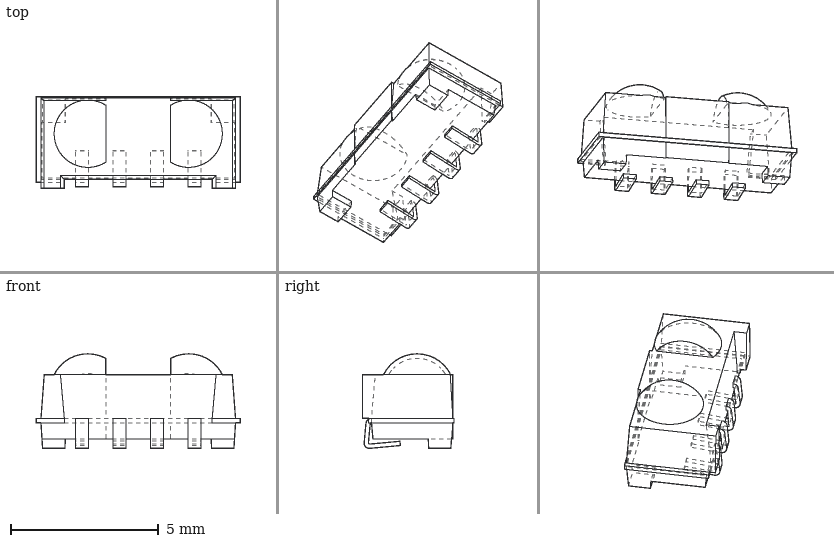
import cadquery as cq
import math

BODY_BOTTOM = 0.32
FLANGE_BOTTOM = 0.86
FLANGE_TOP = 1.015
BODY_TOP = 2.5
LENS_TOP = 3.2

FLANGE_HALF_LENGTH = 3.45
FLANGE_BACK = 1.235
FLANGE_FRONT = -1.655

BODY_HALF_LENGTH = 3.29
BODY_TOP_HALF_LENGTH = 3.18
BODY_BOTTOM_HALF_LENGTH = 3.26
BODY_BACK = 1.195
BODY_TOP_BACK = 1.105
BODY_BOTTOM_BACK = 1.15
UPPER_FRONT = -1.86
LOWER_BOTTOM_FRONT = -1.51

RECESS_HALF_LENGTH = 2.5
RECESS_TOP_HALF_LENGTH = 2.63
RECESS_WALL = -1.56
RECESS_TOP_WALL = -1.43

FOOT_TAPER_RATIO = BODY_BOTTOM / (FLANGE_BOTTOM - BODY_BOTTOM)
FOOT_TIP_OUTER = BODY_BOTTOM_HALF_LENGTH - FOOT_TAPER_RATIO * (BODY_HALF_LENGTH - BODY_BOTTOM_HALF_LENGTH)
FOOT_TIP_BACK = BODY_BOTTOM_BACK - FOOT_TAPER_RATIO * (BODY_BACK - BODY_BOTTOM_BACK)
FOOT_INNER = 2.455
FOOT_TIP_INNER = 2.48
FOOT_FRONT = 0.36
FOOT_TIP_FRONT = 0.37

LENS_X = 1.705
LENS_Y = -0.015
LENS_BASE_RADIUS = 1.14
LENS_FLAT_X = 1.1

LEAD_COUNT = 4
LEAD_PITCH = 1.27
LEAD_WIDTH = 0.45
LEAD_GAUGE = FLANGE_TOP - FLANGE_BOTTOM
LEAD_TILT = math.radians(5.3)
LEAD_ROOT = -1.38
LEAD_SHOULDER = -1.73
LEAD_KNEE_Z = -0.02
LEAD_TOE_LENGTH = 1.255
LEAD_OUTER_BEND = 0.185
LEAD_INNER_BEND = LEAD_OUTER_BEND - LEAD_GAUGE


def block(x_min, x_max, y_min, y_max, z_min, z_max):
    """Axis-aligned block between the given limits."""
    size = (x_max - x_min, y_max - y_min, z_max - z_min)
    return cq.Workplane("XY").box(*size, centered=False).translate((x_min, y_min, z_min))


def frustum(z_start, start, z_end, end):
    """Loft between two rectangles given as (x_min, x_max, y_min, y_max)."""
    wires = []
    for z, (x_min, x_max, y_min, y_max) in ((z_start, start), (z_end, end)):
        corners = [(x_min, y_min, z), (x_max, y_min, z), (x_max, y_max, z), (x_min, y_max, z)]
        wires.append(cq.Wire.makePolygon([cq.Vector(*c) for c in corners], close=True))
    return cq.Workplane(cq.Solid.makeLoft(wires, True))


def centred(half_length, front, back):
    """Rectangle limits symmetric about X = 0."""
    return (-half_length, half_length, front, back)


def mirrored_pair(shape):
    return shape.union(shape.mirror("YZ"))


def make_upper_housing():
    housing = frustum(
        FLANGE_TOP, centred(BODY_HALF_LENGTH, UPPER_FRONT, BODY_BACK),
        BODY_TOP, centred(BODY_TOP_HALF_LENGTH, UPPER_FRONT, BODY_TOP_BACK),
    )
    recess = frustum(
        FLANGE_TOP, centred(RECESS_HALF_LENGTH, UPPER_FRONT, RECESS_WALL),
        BODY_TOP, centred(RECESS_TOP_HALF_LENGTH, UPPER_FRONT, RECESS_TOP_WALL),
    )
    return housing.cut(recess)


def make_flange():
    plate = block(-FLANGE_HALF_LENGTH, FLANGE_HALF_LENGTH, FLANGE_FRONT, FLANGE_BACK,
                  FLANGE_BOTTOM, FLANGE_TOP)
    notch = block(-RECESS_HALF_LENGTH, RECESS_HALF_LENGTH, FLANGE_FRONT, RECESS_WALL,
                  FLANGE_BOTTOM, FLANGE_TOP)
    return plate.cut(notch)


def make_lower_housing():
    return frustum(
        FLANGE_BOTTOM, centred(BODY_HALF_LENGTH, RECESS_WALL, BODY_BACK),
        BODY_BOTTOM, centred(BODY_BOTTOM_HALF_LENGTH, LOWER_BOTTOM_FRONT, BODY_BOTTOM_BACK),
    )


def make_back_pad():
    """Upright pad that squares off the tapered back between the lenses."""
    return block(-LENS_FLAT_X, LENS_FLAT_X, 0, BODY_BACK, BODY_BOTTOM, BODY_TOP)


def make_feet():
    return mirrored_pair(frustum(
        BODY_BOTTOM, (FOOT_INNER, BODY_BOTTOM_HALF_LENGTH, FOOT_FRONT, BODY_BOTTOM_BACK),
        0, (FOOT_TIP_INNER, FOOT_TIP_OUTER, FOOT_TIP_FRONT, FOOT_TIP_BACK),
    ))


def make_lenses():
    height = LENS_TOP - BODY_TOP
    radius = (LENS_BASE_RADIUS**2 + height**2) / (2 * height)
    sphere = cq.Workplane("XY").sphere(radius).translate((LENS_X, LENS_Y, LENS_TOP - radius))
    kept = block(LENS_FLAT_X, FLANGE_HALF_LENGTH, LENS_Y - radius, BODY_TOP_BACK, BODY_TOP, LENS_TOP)
    return mirrored_pair(sphere.intersect(kept))


def make_lead():
    """Strip that leaves the flange, bends down and folds back under the body."""
    tangent = math.tan(LEAD_TILT)
    knee_y = LEAD_SHOULDER - (FLANGE_TOP - LEAD_KNEE_Z) * tangent
    inner_shoulder_y = LEAD_SHOULDER - LEAD_GAUGE * tangent + LEAD_GAUGE / math.cos(LEAD_TILT)
    half_angle = math.pi / 4 - LEAD_TILT
    inner_step = LEAD_GAUGE / math.sin(half_angle) / math.sqrt(2)
    toe_y = knee_y + LEAD_TOE_LENGTH * math.cos(LEAD_TILT)
    toe_z = LEAD_KNEE_Z + LEAD_TOE_LENGTH * math.sin(LEAD_TILT)

    outer_shoulder = (LEAD_SHOULDER, FLANGE_TOP)
    outer_knee = (knee_y, LEAD_KNEE_Z)
    inner_knee = (knee_y + inner_step, LEAD_KNEE_Z + inner_step)
    inner_shoulder = (inner_shoulder_y, FLANGE_BOTTOM)
    outline = [
        (LEAD_ROOT, FLANGE_TOP),
        outer_shoulder,
        outer_knee,
        (toe_y, toe_z),
        (toe_y - LEAD_GAUGE * math.sin(LEAD_TILT), toe_z + LEAD_GAUGE * math.cos(LEAD_TILT)),
        inner_knee,
        inner_shoulder,
        (LEAD_ROOT, FLANGE_BOTTOM),
    ]
    lead = cq.Workplane("YZ").polyline(outline).close().extrude(LEAD_WIDTH / 2, both=True)
    bends = (
        (outer_shoulder, LEAD_OUTER_BEND),
        (outer_knee, LEAD_OUTER_BEND),
        (inner_knee, LEAD_INNER_BEND),
        (inner_shoulder, LEAD_INNER_BEND),
    )
    for corner, radius in bends:
        edge = lead.edges("|X").edges(cq.NearestToPointSelector((0, *corner)))
        lead = edge.fillet(radius)
    return lead


result = make_upper_housing()
for feature in (make_flange(), make_lower_housing(), make_back_pad(), make_feet(), make_lenses()):
    result = result.union(feature)

lead = make_lead()
for index in range(LEAD_COUNT):
    lead_x = (index - (LEAD_COUNT - 1) / 2) * LEAD_PITCH
    result = result.union(lead.translate((lead_x, 0, 0)))
result = result.clean()